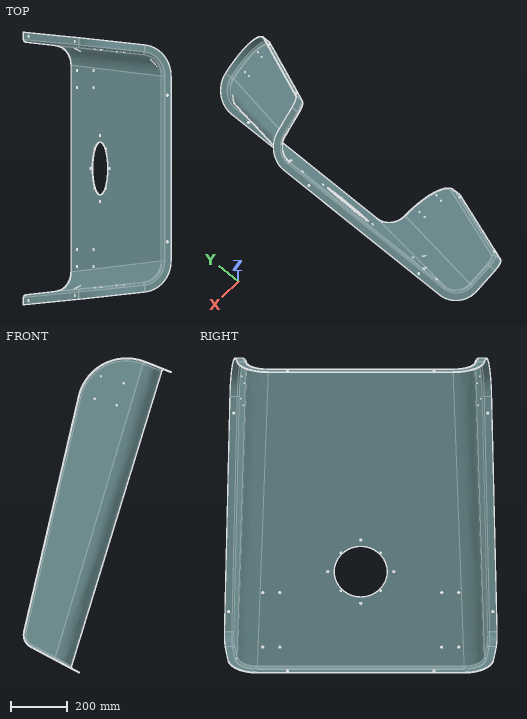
import cadquery as cq
import math


SHEET = 3.0
BEND_OUTER_RADIUS = 10.0
BEND_INNER_RADIUS = BEND_OUTER_RADIUS - SHEET
FLANGE_REACH = 35.0

FLOOR_LEAN = 17.0
FLOOR_ORIGIN_X = 161.2

WALL_DRAFT = 6.1
BOTTOM_STATION = -150.0
BOTTOM_HALF_WIDTH = 431.5
BOTTOM_CORNER_RADIUS = 68.0
TOP_STATION = 1350.0
TOP_HALF_WIDTH = 386.6
TOP_CORNER_RADIUS = 78.0
SECTION_DEPTH = 500.0

FRONT_LEAN = 13.1
FRONT_HEIGHT = 1063.5
TOP_SLOPE = 21.6
BOTTOM_SLOPE = 28.0
TOP_CORNER_X = 241.0
TOP_CORNER_Z = 1172.3
TOP_RIM_RADIUS = 175.0
BOTTOM_RIM_RADIUS = 50.0
RIM_RUN = 600.0
HALF_SPAN = 700.0
EDGE_TOLERANCE = 0.05

PORT_DIAMETER = 186.0
PORT_STATION = 374.0
CROSS_HOLE_DIAMETER = 6.6
CROSS_HOLE_RADIUS = 116.5
DIAGONAL_HOLE_DIAMETER = 4.5
DIAGONAL_HOLE_RADIUS = 99.0

MOUNT_HOLE_DIAMETER = 6.0
MOUNT_STATIONS = (96.0, 297.0)
MOUNT_OFFSETS = (285.0, 345.0)

FLANGE_HOLE_DIAMETER = 6.0
END_FLANGE_HOLE_Y = 258.0
TOP_FLANGE_HOLE_X = 509.0
BOTTOM_FLANGE_HOLE_X = 186.0
FRONT_FLANGE_HOLES = ((447.0, 916.0), (465.0, 217.0))

WALL_HOLE_DIAMETER = 3.0
WALL_HOLES = ((275.0, 1045.0), (355.0, 1020.5), (253.0, 966.0), (330.0, 943.0))

DRILL_LENGTH = 60.0


def sin(angle):
    return math.sin(math.radians(angle))


def cos(angle):
    return math.cos(math.radians(angle))


def tan(angle):
    return math.tan(math.radians(angle))


def top_edge_z(x):
    return TOP_CORNER_Z - (x - TOP_CORNER_X) * tan(TOP_SLOPE)


def front_edge_x(z):
    return TOP_CORNER_X - (TOP_CORNER_Z - z) * tan(FRONT_LEAN)


BOTTOM_CORNER_Z = TOP_CORNER_Z - FRONT_HEIGHT
BOTTOM_CORNER_X = front_edge_x(BOTTOM_CORNER_Z)


def bottom_edge_z(x):
    return BOTTOM_CORNER_Z - (x - BOTTOM_CORNER_X) * tan(BOTTOM_SLOPE)


def floor_plane(station):
    """Section plane square to the floor: local x is Y, local y is depth in front of the floor."""
    origin = (FLOOR_ORIGIN_X + station * sin(FLOOR_LEAN), 0, station * cos(FLOOR_LEAN))
    return cq.Plane(origin=origin, xDir=(0, 1, 0), normal=(sin(FLOOR_LEAN), 0, cos(FLOOR_LEAN)))


def tray_section(station, half_width, corner_radius, growth):
    """Edges of a closed U section, grown outwards from the inner face of the sheet."""
    radius = corner_radius + growth
    center_y = half_width - corner_radius * tan((90 - WALL_DRAFT) / 2)
    plane = floor_plane(station)

    def point(side, y, depth):
        return plane.toWorldCoords((side * y, depth))

    def arc_point(side, angle):
        return point(side, center_y + radius * cos(angle), corner_radius - radius * sin(angle))

    def corner_arc(side):
        angles = (90, (90 + WALL_DRAFT) / 2, WALL_DRAFT)
        return cq.Edge.makeThreePointArc(*[arc_point(side, angle) for angle in angles])

    wall_foot_y = center_y + radius * cos(WALL_DRAFT)
    wall_foot_depth = corner_radius - radius * sin(WALL_DRAFT)
    wall_top_y = wall_foot_y + (SECTION_DEPTH - wall_foot_depth) * tan(WALL_DRAFT)
    left_top = point(-1, wall_top_y, SECTION_DEPTH)
    right_top = point(1, wall_top_y, SECTION_DEPTH)
    return [
        cq.Edge.makeLine(arc_point(-1, 90), arc_point(1, 90)),
        corner_arc(1),
        cq.Edge.makeLine(arc_point(1, WALL_DRAFT), right_top),
        cq.Edge.makeLine(right_top, left_top),
        cq.Edge.makeLine(left_top, arc_point(-1, WALL_DRAFT)),
        corner_arc(-1),
    ]


def side_face(bottom_edge, top_edge):
    """Face between matching edges of two sections: flat between lines, ruled between arcs."""
    if bottom_edge.geomType() != "LINE":
        return cq.Face.makeRuledSurface(bottom_edge, top_edge)
    corners = [
        bottom_edge.startPoint(),
        bottom_edge.endPoint(),
        top_edge.endPoint(),
        top_edge.startPoint(),
    ]
    return cq.Face.makeFromWires(cq.Wire.makePolygon(corners, close=True))


def tray_body(growth):
    """Solid filling the tray, with flat floor and walls joined by tapering rounded corners."""
    bottom = tray_section(BOTTOM_STATION, BOTTOM_HALF_WIDTH, BOTTOM_CORNER_RADIUS, growth)
    top = tray_section(TOP_STATION, TOP_HALF_WIDTH, TOP_CORNER_RADIUS, growth)
    faces = [side_face(*pair) for pair in zip(bottom, top)]
    for section in (bottom, top):
        faces.append(cq.Face.makeFromWires(cq.Wire.assembleEdges(section)))
    return cq.Workplane(cq.Solid.makeSolid(cq.Shell.makeShell(faces)))


def round_rim_corner(body, corner, radius):
    nearest = cq.selectors.NearestToPointSelector((corner[0], 0, corner[1]))
    return body.edges("|Y").edges(nearest).fillet(radius)


def rim_body(inset):
    """Everything behind the rim line, which is moved in by the inset."""
    top_corner = (TOP_CORNER_X, TOP_CORNER_Z)
    bottom_corner = (BOTTOM_CORNER_X, BOTTOM_CORNER_Z)
    top_end_x = TOP_CORNER_X + RIM_RUN
    bottom_end_x = BOTTOM_CORNER_X + RIM_RUN
    top_end = (top_end_x, top_edge_z(top_end_x))
    bottom_end = (bottom_end_x, bottom_edge_z(bottom_end_x))
    outline = cq.Workplane("XZ").polyline([top_end, top_corner, bottom_corner, bottom_end]).close()
    if inset:
        outline = outline.offset2D(-inset, "intersection")
    body = outline.extrude(HALF_SPAN, both=True)
    body = round_rim_corner(body, top_corner, TOP_RIM_RADIUS - inset)
    return round_rim_corner(body, bottom_corner, BOTTOM_RIM_RADIUS - inset)


def bent_sheet():
    """Tray and flange as one sheet, with the bend between them still sharp."""
    flange = rim_body(0).cut(rim_body(SHEET)).intersect(tray_body(FLANGE_REACH))
    tray = rim_body(SHEET / 2).intersect(tray_body(SHEET))
    return flange.union(tray).cut(tray_body(0)).val()


def meeting_edges(sheet, rim_inset, tray_growth):
    """Edges of the sheet that lie on both the given rim surface and the given tray surface."""
    rim_surface = rim_body(rim_inset).val().Shells()[0]
    tray_surface = tray_body(tray_growth).val().Shells()[0]
    edges = []
    for edge in sheet.Edges():
        middle = cq.Vertex.makeVertex(*edge.positionAt(0.5).toTuple())
        if max(rim_surface.distance(middle), tray_surface.distance(middle)) < EDGE_TOLERANCE:
            edges.append(edge)
    return edges


def round_bend(sheet):
    """Round both sides of the bend between the tray and its rim flange."""
    outer_edges = meeting_edges(sheet, 0, 0)
    inner_edges = meeting_edges(sheet, SHEET, SHEET)
    return sheet.fillet(BEND_OUTER_RADIUS, outer_edges).fillet(BEND_INNER_RADIUS, inner_edges)


def drill(center, direction, diameter, length=DRILL_LENGTH):
    """Cylinder along the direction, with its middle at the center."""
    axis = cq.Vector(*direction)
    start = cq.Vector(*center) - axis * (length / 2)
    return cq.Solid.makeCylinder(diameter / 2, length, start, axis)


def floor_hole(y, station, diameter):
    center = floor_plane(station).toWorldCoords((y, 0))
    return drill(center.toTuple(), (-cos(FLOOR_LEAN), 0, sin(FLOOR_LEAN)), diameter)


def port_ring(start_angle, radius, diameter):
    """Four evenly spaced holes around the port."""
    angles = [start_angle + quarter * 90 for quarter in range(4)]
    return [floor_hole(radius * cos(a), PORT_STATION + radius * sin(a), diameter) for a in angles]


def port_holes():
    port = floor_hole(0, PORT_STATION, PORT_DIAMETER)
    cross = port_ring(0, CROSS_HOLE_RADIUS, CROSS_HOLE_DIAMETER)
    diagonal = port_ring(45, DIAGONAL_HOLE_RADIUS, DIAGONAL_HOLE_DIAMETER)
    return [port] + cross + diagonal


def mount_holes():
    return [
        floor_hole(side * y, station, MOUNT_HOLE_DIAMETER)
        for side in (-1, 1)
        for y in MOUNT_OFFSETS
        for station in MOUNT_STATIONS
    ]


def flange_holes():
    """Holes square to the top, bottom and front flanges."""
    top_normal = (sin(TOP_SLOPE), 0, cos(TOP_SLOPE))
    bottom_normal = (sin(BOTTOM_SLOPE), 0, cos(BOTTOM_SLOPE))
    front_normal = (cos(FRONT_LEAN), 0, -sin(FRONT_LEAN))
    cutters = []
    for side in (-1, 1):
        end_y = side * END_FLANGE_HOLE_Y
        top = (TOP_FLANGE_HOLE_X, end_y, top_edge_z(TOP_FLANGE_HOLE_X))
        bottom = (BOTTOM_FLANGE_HOLE_X, end_y, bottom_edge_z(BOTTOM_FLANGE_HOLE_X))
        cutters.append(drill(top, top_normal, FLANGE_HOLE_DIAMETER))
        cutters.append(drill(bottom, bottom_normal, FLANGE_HOLE_DIAMETER))
        for y, z in FRONT_FLANGE_HOLES:
            front = (front_edge_x(z), side * y, z)
            cutters.append(drill(front, front_normal, FLANGE_HOLE_DIAMETER))
    return cutters


def wall_holes():
    """Holes running along Y through both side walls."""
    return [drill((x, 0, z), (0, 1, 0), WALL_HOLE_DIAMETER, 2 * HALF_SPAN) for x, z in WALL_HOLES]


shell = round_bend(bent_sheet())
drilled = shell.cut(*port_holes(), *mount_holes(), *flange_holes(), *wall_holes())
result = cq.Workplane(drilled.Solids()[0])